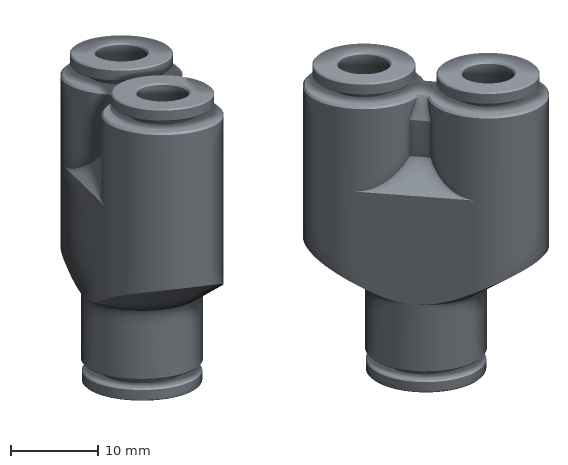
import cadquery as cq

height = 37.5
collar_height = 1.5
neck_height = 1.0
shoulder_top = height - collar_height - neck_height
stem_bottom = collar_height + neck_height

body_diameter = 14.0
body_radius = body_diameter / 2
width = 28.45
branch_offset = (width - body_diameter) / 2
branch_collar_diameter = 11.8
branch_neck_diameter = 8.0
stem_collar_diameter = 13.8
stem_neck_diameter = 10.0
bore_diameter = 6.0
bore_depth = 15.0
edge_chamfer = 0.22
collar_chamfer = 0.15
bore_chamfer = 0.2

cone_bottom = 11.0
cone_top = 16.0

block_top = 24.5
web_bottom = 27.95
web_half_thickness = 3.55
web_bevel_bottom = 32.45
web_tip_half_thickness = 2.1


def cylinder(diameter, bottom, top, x=0):
    """Vertical cylinder between two heights."""
    return cq.Workplane("XY", origin=(x, 0, bottom)).circle(diameter / 2).extrude(top - bottom)


def make_web():
    """Symmetric profile in YZ, extruded between the branch axes."""
    right_side = [
        (body_radius, cone_bottom),
        (body_radius, block_top),
        (web_half_thickness, web_bottom),
        (web_half_thickness, web_bevel_bottom),
        (web_tip_half_thickness, shoulder_top),
    ]
    left_side = [(-y, z) for y, z in reversed(right_side)]
    profile = cq.Workplane("YZ").polyline(right_side + left_side).close()
    return profile.extrude(branch_offset, both=True)


def make_cone_envelope():
    """Revolved envelope that trims the underside of the body to a cone."""
    outer_radius = width / 2
    outline = [
        (0, cone_bottom),
        (body_radius, cone_bottom),
        (outer_radius, cone_top),
        (outer_radius, shoulder_top),
        (0, shoulder_top),
    ]
    return cq.Workplane("XZ").polyline(outline).close().revolve(360, (0, 0), (0, 1))


def make_collar(diameter, bottom, x=0):
    """Release collar with both rims broken."""
    collar = cylinder(diameter, bottom, bottom + collar_height, x)
    return collar.edges().chamfer(collar_chamfer)


def make_bore(x):
    """Blind tube socket with a chamfered mouth."""
    bore = cylinder(bore_diameter, height - bore_depth, height, x)
    mouth = (
        cq.Workplane("XY", origin=(x, 0, height))
        .circle(bore_diameter / 2 + bore_chamfer)
        .extrude(-2 * bore_chamfer, taper=45)
    )
    return bore.union(mouth)


body = make_web()
for x in (-branch_offset, branch_offset):
    branch = cylinder(body_diameter, cone_bottom, shoulder_top, x)
    body = body.union(branch.faces(">Z").edges().chamfer(edge_chamfer))
body = body.intersect(make_cone_envelope())

stem = cylinder(body_diameter, stem_bottom, cone_bottom)
body = body.union(stem.faces("<Z").edges().chamfer(edge_chamfer))
body = body.union(cylinder(stem_neck_diameter, collar_height, stem_bottom))
body = body.union(make_collar(stem_collar_diameter, 0))

for x in (-branch_offset, branch_offset):
    body = body.union(cylinder(branch_neck_diameter, shoulder_top, height - collar_height, x))
    body = body.union(make_collar(branch_collar_diameter, height - collar_height, x))
    body = body.cut(make_bore(x))

result = body